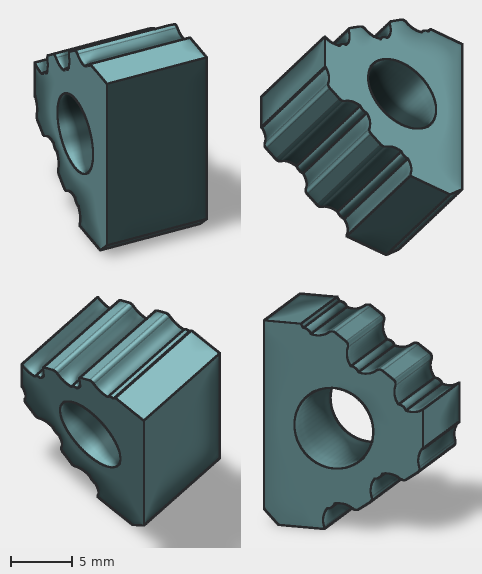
import cadquery as cq

height = 17.14
width = 13.73
depth = 9.0
right_face = 6.02
left_face = right_face - width
bore_diameter = 6.79
corner_chamfer = 1.25

rack_angle = 35.0
pitch = 5.0
tooth_tip = 6.68
upper_groove_shift = 1.47
lower_groove_shift = upper_groove_shift - pitch / 2
grooves_each_side = 2

groove_valley_half = 0.4
groove_depth = 1.44
rib_height = 0.12
flank_mid = (1.06, 1.05)
flank_end = (1.5, 0.3)
tip_mid = (1.65, 0.1)
tip_end_half = 1.92
cutter_reach = 10.28


def rack_cutter(groove_shift):
    """Everything outside an upper-left rack, as a solid along Y."""
    first = groove_shift - grooves_each_side * pitch
    last = groove_shift + grooves_each_side * pitch
    outline = cq.Workplane("XZ").moveTo(first - pitch / 2, tooth_tip)
    for index in range(2 * grooves_each_side + 1):
        centre = first + index * pitch

        def at(half_width, drop):
            return (centre + half_width, tooth_tip - drop)

        outline = (
            outline.lineTo(*at(-tip_end_half, 0))
            .threePointArc(at(-tip_mid[0], tip_mid[1]), at(-flank_end[0], flank_end[1]))
            .threePointArc(at(-flank_mid[0], flank_mid[1]), at(-groove_valley_half, groove_depth))
            .threePointArc(at(0, groove_depth - rib_height), at(groove_valley_half, groove_depth))
            .threePointArc(at(*flank_mid), at(*flank_end))
            .threePointArc(at(*tip_mid), at(tip_end_half, 0))
        )
    outline = (
        outline.lineTo(last + pitch / 2, tooth_tip)
        .lineTo(last + pitch / 2, tooth_tip + cutter_reach)
        .lineTo(first - pitch / 2, tooth_tip + cutter_reach)
        .close()
    )
    cutter = outline.extrude(depth / 2, both=True)
    return cutter.rotate((0, 0, 0), (0, 1, 0), -rack_angle)


block = (
    cq.Workplane("XY")
    .box(width, depth, height)
    .translate((left_face + width / 2, 0, 0))
    .edges(">X and <Z")
    .chamfer(corner_chamfer)
)
bore = cq.Workplane("XZ").circle(bore_diameter / 2).extrude(depth / 2, both=True)
upper_rack = rack_cutter(upper_groove_shift)
lower_rack = rack_cutter(lower_groove_shift).mirror("XY")

result = block.cut(bore).cut(upper_rack).cut(lower_rack)